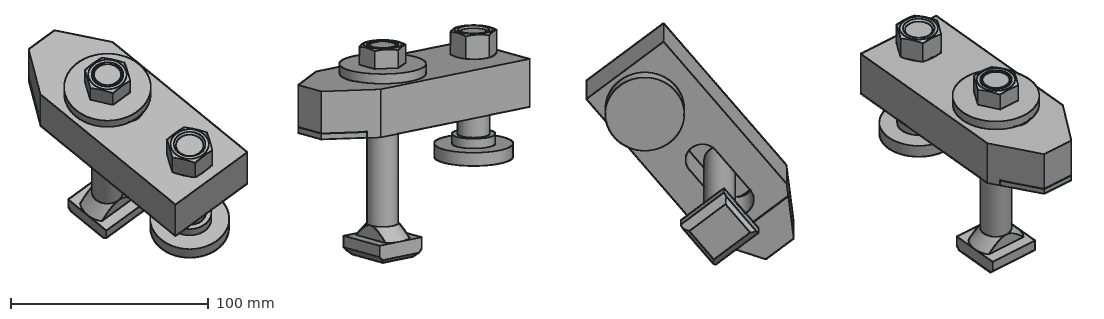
import cadquery as cq
import math

overall_length = 129.0

bar_length = 125.0
bar_width = 50.0
bar_height = 25.0
nose_width = 18.0
nose_length = 25.7
slot_length = 44.9
slot_width = 17.0

pad_seat_length = 20.0
pad_seat_height = 3.2
pad_clearance = 0.3

washer_diameter = 43.9
washer_height = 5.0

hex_flats = 20.8
hex_face_diameter = 19.4
hex_chamfer_height = 0.8

nut_height = 10.0
nut_bore = 14.7
sink_diameter = 16.0

bolt_x = 48.5
bolt_diameter = 16.0
bolt_end_chamfer = 0.5
head_width = 28.1
head_height = 10.0
head_bottom = -69.9
head_chamfer_x = 4.1
head_chamfer_y = 2.3
neck_height = 7.0

support_diameter = 16.5
collar_diameter = 22.0
collar_height = 5.0
foot_diameter = 40.0
foot_height = 7.0
foot_bottom = -28.0
screw_head_height = 13.2
screw_sink_floor_diameter = 13.9

support_x = overall_length - foot_diameter / 2
washer_top = bar_height + washer_height
nut_top = washer_top + nut_height
nut_sink_depth = (sink_diameter - nut_bore) / 2
screw_top = bar_height + screw_head_height
head_top = head_bottom + head_height
neck_top = head_top + neck_height
foot_top = foot_bottom + foot_height
collar_top = foot_top + collar_height


def cylinder(x, diameter, bottom, top):
    """Upright cylinder on the centreline at the given X."""
    return cq.Workplane("XY", origin=(x, 0, bottom)).circle(diameter / 2).extrude(top - bottom)


def bar_blank():
    """Bar with a tapered nose, before anything is cut out of it."""
    half_width = bar_width / 2
    half_nose = nose_width / 2
    outline = [
        (0, -half_nose),
        (nose_length, -half_width),
        (bar_length, -half_width),
        (bar_length, half_width),
        (nose_length, half_width),
        (0, half_nose),
    ]
    return cq.Workplane("XY").polyline(outline).close().extrude(bar_height)


def nose_block(length, height):
    """Full-width block at the underside of the nose."""
    return cq.Workplane("XY").box(length, bar_width, height, centered=(False, True, False))


def make_clamp_bar():
    """Bar with the bolt slot, the pad seat and the hole for the support screw."""
    slot = cq.Workplane("XY").center(bolt_x, 0).slot2D(slot_length, slot_width).extrude(bar_height)
    pad_seat = nose_block(pad_seat_length, pad_seat_height)
    support_hole = cylinder(support_x, support_diameter, 0, bar_height)
    return bar_blank().cut(slot).cut(pad_seat).cut(support_hole)


def make_pad():
    """Pad flush with the nose, a thin gap away from the end and the top of its seat."""
    block = nose_block(pad_seat_length - pad_clearance, pad_seat_height - pad_clearance)
    return bar_blank().intersect(block)


def make_washer():
    """Flat ring on top of the bar, closely around the bolt shank."""
    hole = cylinder(bolt_x, bolt_diameter, bar_height, washer_top)
    return cylinder(bolt_x, washer_diameter, bar_height, washer_top).cut(hole)


def hexagon(x, bottom, top, lower_chamfer):
    """Hexagon with flats facing +X and -X; its upper, and if wanted lower, corners are turned to a cone."""
    height = top - bottom
    corner_diameter = hex_flats / math.cos(math.pi / 6)
    corner = corner_diameter / 2
    face = hex_face_diameter / 2
    prism = cq.Workplane("XY").polygon(6, corner_diameter).extrude(height).rotate((0, 0, 0), (0, 0, 1), 30)
    lower_rim = [(face, 0), (corner, hex_chamfer_height)] if lower_chamfer else [(corner, 0)]
    profile = [(0, 0), *lower_rim, (corner, height - hex_chamfer_height), (face, height), (0, height)]
    envelope = cq.Workplane("XZ").polyline(profile).close().revolve(360, (0, 0, 0), (0, 1, 0))
    return prism.intersect(envelope).translate((x, 0, bottom))


def countersink(x, floor_diameter, top):
    """45 degree cone that opens upward from its flat floor to the rim at the given height."""
    depth = (sink_diameter - floor_diameter) / 2
    cone = cq.Solid.makeCone(floor_diameter / 2, sink_diameter / 2, depth)
    return cq.Workplane(cone.translate(cq.Vector(x, 0, top - depth)))


def make_clamp_nut():
    """Hexagon nut on the washer, with a countersunk bore around the bolt end."""
    bore = cylinder(bolt_x, nut_bore, washer_top, nut_top)
    sink = countersink(bolt_x, nut_bore, nut_top)
    return hexagon(bolt_x, washer_top, nut_top, lower_chamfer=False).cut(bore).cut(sink)


def bevelled_head_bar(plane, bevel):
    """Block of the head size with 45 degree bevels along the two lower edges normal to the plane."""
    half = head_width / 2
    outline = [
        (half - bevel, head_bottom),
        (half, head_bottom + bevel),
        (half, head_top),
        (-half, head_top),
        (-half, head_bottom + bevel),
        (-half + bevel, head_bottom),
    ]
    return cq.Workplane(plane).polyline(outline).close().extrude(half, both=True)


def make_t_bolt():
    """Square head, conical neck trimmed to the shank width, shank and bevelled end in the nut."""
    head = bevelled_head_bar("XZ", head_chamfer_x).intersect(bevelled_head_bar("YZ", head_chamfer_y))
    neck = (
        cq.Workplane("XY", origin=(0, 0, head_top)).circle(head_width / 2)
        .workplane(offset=neck_height).circle(bolt_diameter / 2).loft(ruled=True)
    )
    neck_slab = cq.Workplane("XY", origin=(0, 0, head_top)).box(
        bolt_diameter, head_width, neck_height, centered=(True, True, False)
    )
    shank = cylinder(0, bolt_diameter, neck_top, washer_top)
    bolt_end = cylinder(0, nut_bore, washer_top, nut_top - nut_sink_depth + bolt_end_chamfer)
    bolt_end = bolt_end.faces(">Z").chamfer(bolt_end_chamfer)
    bolt = head.union(neck.intersect(neck_slab)).union(shank).union(bolt_end)
    return bolt.translate((bolt_x, 0, 0))


def make_support_screw():
    """Round foot and collar, a shank through the bar and a countersunk hexagon head above it."""
    foot = cylinder(support_x, foot_diameter, foot_bottom, foot_top)
    collar = cylinder(support_x, collar_diameter, foot_top, collar_top)
    shank = cylinder(support_x, support_diameter, collar_top, bar_height)
    sink = countersink(support_x, screw_sink_floor_diameter, screw_top)
    head = hexagon(support_x, bar_height, screw_top, lower_chamfer=True).cut(sink)
    return foot.union(collar).union(shank).union(head)


clamp_bar = make_clamp_bar()
pad = make_pad()
washer = make_washer()
t_bolt = make_t_bolt()
clamp_nut = make_clamp_nut()
support_screw = make_support_screw()

result = cq.Compound.makeCompound([
    clamp_bar.val(),
    pad.val(),
    washer.val(),
    t_bolt.val(),
    clamp_nut.val(),
    support_screw.val(),
])